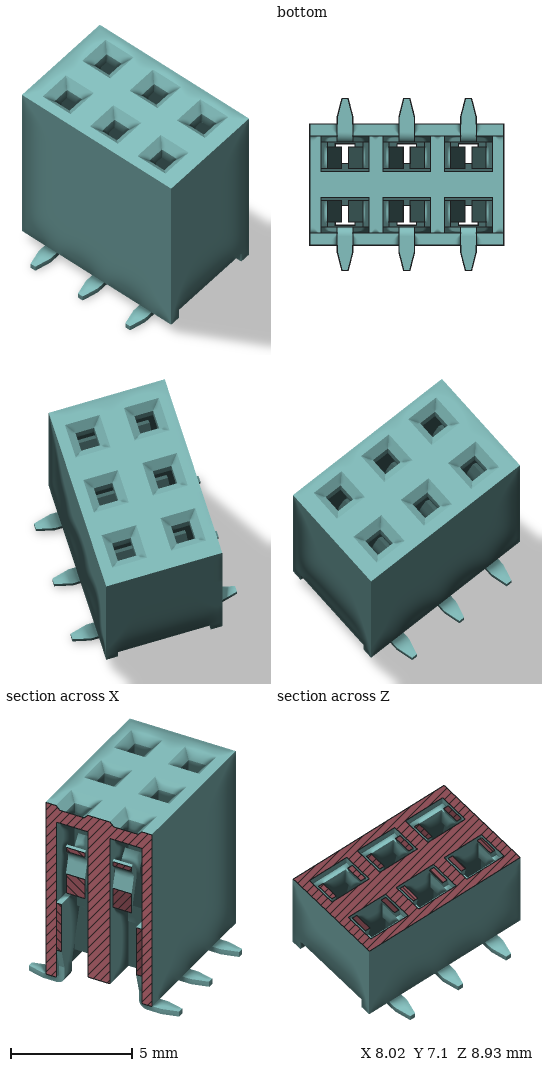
import cadquery as cq
import math

columns = 3
pitch = 2.545

housing_length = 8.02
housing_width = 5.01
housing_bottom = 0.41
housing_top = 8.93
foot_thickness = 0.5
channel_depth = 0.49

mouth_size = 1.5
throat_size = 0.8
throat_depth = 0.84
cavity_half_length = 0.98
cavity_width = 1.465

sheet = 0.25
tail_width = 0.64
tail_tip_width = 0.26
tail_tip_length = 0.75
tail_reach = 7.1 / 2
bend_radius = 0.13
flare_start = 0.83
flare_angle = 15.0
wall_top = 4.11

arm_width = 0.89
arm_relief = 0.205
arm_lean = 15.0
arm_tip_gap = 0.28
arm_tip_radius = 0.61
arm_tip_height = 6.43
lead_in_angle = 37.7
lead_in_length = 0.36

column_places = [(i - (columns - 1) / 2) * pitch for i in range(columns)]
row_place = pitch / 2
row_turns = (0, 180)
channel_top = housing_bottom + channel_depth
throat_bottom = housing_top - throat_depth
back_outer = housing_width / 2 - foot_thickness
back_inner = back_outer - sheet
arm_outer = back_inner - arm_relief
arm_inner = arm_outer - arm_width


def socket_cutter():
    """One contact opening of the +Y row at X = 0: tapered mouth, throat and cavity."""
    mouth_depth = (mouth_size - throat_size) / 2
    mouth = (
        cq.Workplane("XY", origin=(0, row_place, housing_top))
        .rect(mouth_size, mouth_size)
        .workplane(offset=-mouth_depth)
        .rect(throat_size, throat_size)
        .loft(ruled=True)
    )
    throat = (
        cq.Workplane("XY", origin=(0, row_place, throat_bottom))
        .rect(throat_size, throat_size)
        .extrude(throat_depth - mouth_depth)
    )
    cavity = (
        cq.Workplane("XY", origin=(0, back_outer - cavity_width / 2, channel_top))
        .rect(2 * cavity_half_length, cavity_width)
        .extrude(throat_bottom - channel_top)
    )
    return mouth.union(throat).union(cavity)


def make_housing():
    block = cq.Workplane("XY", origin=(0, 0, housing_bottom)).box(
        housing_length, housing_width, housing_top - housing_bottom, centered=(True, True, False)
    )
    channel = cq.Workplane("XY", origin=(0, 0, housing_bottom)).box(
        housing_length, 2 * back_outer, channel_depth, centered=(True, True, False)
    )
    body = block.cut(channel)
    for x in column_places:
        for turn in row_turns:
            cutter = socket_cutter().rotate((0, 0, 0), (0, 0, 1), turn)
            body = body.cut(cutter.translate((x, 0, 0)))
    return body


def tail():
    """Stem and solder tail: an L bent outward, tapered to a narrow tip."""
    outside_radius = bend_radius + sheet
    bend_y = back_outer + bend_radius
    bend_z = sheet + bend_radius
    diagonal = math.sqrt(0.5)
    strip = (
        cq.Workplane("YZ", origin=(-tail_width / 2, 0, 0))
        .moveTo(back_inner, flare_start)
        .lineTo(back_inner, bend_z)
        .threePointArc(
            (bend_y - outside_radius * diagonal, bend_z - outside_radius * diagonal), (bend_y, 0)
        )
        .lineTo(tail_reach, 0)
        .lineTo(tail_reach, sheet)
        .lineTo(bend_y, sheet)
        .threePointArc(
            (bend_y - bend_radius * diagonal, bend_z - bend_radius * diagonal), (back_outer, bend_z)
        )
        .lineTo(back_outer, flare_start)
        .close()
        .extrude(tail_width)
    )
    taper_start = tail_reach - tail_tip_length
    plan = (
        cq.Workplane("XY")
        .moveTo(-tail_width / 2, back_inner)
        .lineTo(tail_width / 2, back_inner)
        .lineTo(tail_width / 2, taper_start)
        .lineTo(tail_tip_width / 2, tail_reach)
        .lineTo(-tail_tip_width / 2, tail_reach)
        .lineTo(-tail_width / 2, taper_start)
        .close()
        .extrude(flare_start)
    )
    return strip.intersect(plan)


def flare_end():
    """Height at which the flared stem reaches the full width of the back plate."""
    return flare_start + (cavity_half_length - tail_width / 2) / math.tan(math.radians(flare_angle))


def back_plate():
    """Upright plate against the cavity wall, flaring up from the stem to the full width."""
    return (
        cq.Workplane("XZ", origin=(0, back_outer, 0))
        .moveTo(-tail_width / 2, flare_start)
        .lineTo(tail_width / 2, flare_start)
        .lineTo(cavity_half_length, flare_end())
        .lineTo(cavity_half_length, wall_top)
        .lineTo(-cavity_half_length, wall_top)
        .lineTo(-cavity_half_length, flare_end())
        .close()
        .extrude(sheet)
    )


def side_wall():
    """Wall folded from the +X edge of the back plate, carrying the spring arm."""
    return cq.Workplane("XY", origin=(cavity_half_length - sheet, arm_inner, flare_end())).box(
        sheet, back_outer - arm_inner, wall_top - flare_end(), centered=False
    )


def spring_arm():
    """Arm on the +X side: leans inward, rounds over at the contact point, then opens out."""
    tip_x = arm_tip_gap / 2 + arm_tip_radius
    lean = math.radians(arm_lean)
    lead_in = math.radians(lead_in_angle)

    def tip_point(angle, radius):
        return (tip_x - radius * math.cos(angle), arm_tip_height + radius * math.sin(angle))

    def lead_in_end(radius):
        x, z = tip_point(lead_in, radius)
        return (x + lead_in_length * math.sin(lead_in), z + lead_in_length * math.cos(lead_in))

    inner_radius = arm_tip_radius
    outer_radius = arm_tip_radius - sheet
    root_inner = cavity_half_length - sheet
    lean_start_x, lean_start_z = tip_point(-lean, inner_radius)
    knee_z = lean_start_z - (root_inner - lean_start_x) / math.tan(lean)
    return (
        cq.Workplane("XZ", origin=(0, arm_outer, 0))
        .moveTo(root_inner, flare_end())
        .lineTo(root_inner, knee_z)
        .lineTo(lean_start_x, lean_start_z)
        .threePointArc(tip_point(0, inner_radius), tip_point(lead_in, inner_radius))
        .lineTo(*lead_in_end(inner_radius))
        .lineTo(*lead_in_end(outer_radius))
        .lineTo(*tip_point(lead_in, outer_radius))
        .threePointArc(tip_point(0, outer_radius), tip_point(-lean, outer_radius))
        .lineTo(cavity_half_length, knee_z + sheet * math.tan(lean / 2))
        .lineTo(cavity_half_length, flare_end())
        .close()
        .extrude(arm_width)
    )


def make_contact():
    """Contact of the +Y row at X = 0."""
    side = side_wall().union(spring_arm())
    return tail().union(back_plate()).union(side).union(side.mirror("YZ"))


housing = make_housing()

contact = make_contact()
contacts = []
for column_x in column_places:
    for turn in row_turns:
        placed = contact.rotate((0, 0, 0), (0, 0, 1), turn).translate((column_x, 0, 0))
        contacts.append(placed.solids().val())

result = cq.Compound.makeCompound([housing.solids().val(), *contacts])